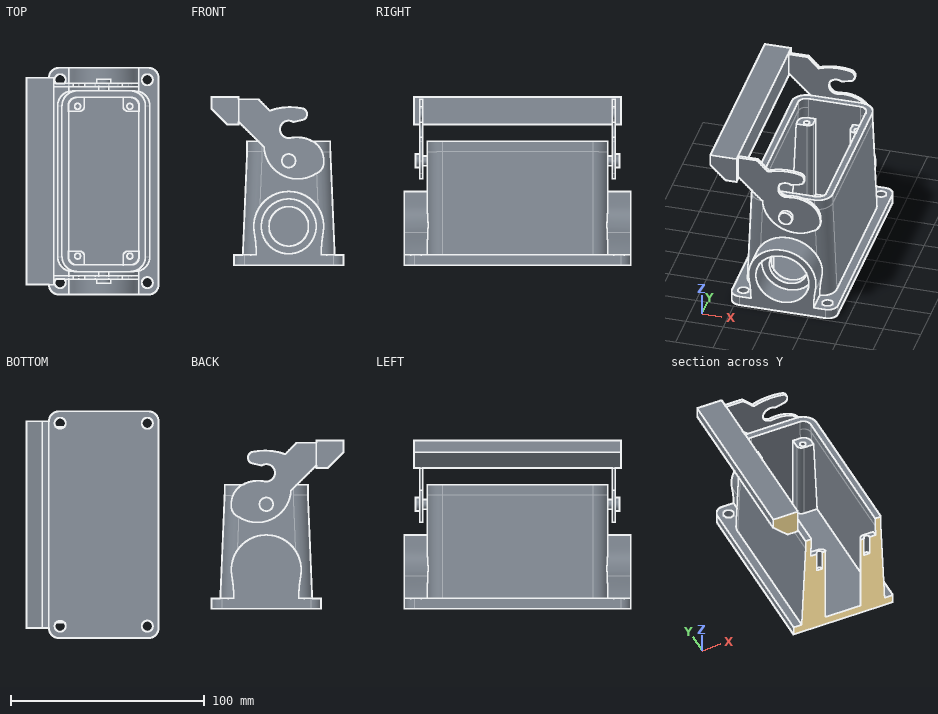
import cadquery as cq
import math


base_width = 56.6
base_length = 117.0
base_height = 5.4
base_corner_radius = 5.3
mount_hole_radius = 2.8
mount_hole_x = 22.5
mount_hole_y = 52.3

body_length = 93.1
body_bottom_width = 47.5
body_top_width = 43.0
body_top_z = 64.0
rim_height = 5.3
rim_bottom_z = body_top_z - rim_height
body_corner_radius = 7.7
wall = 3.4
floor_z = base_height

post_width = 8.2
post_length = 7.1
post_corner_radius = 2.7
post_top_z = 52.2
screw_hole_radius = 1.5
screw_hole_depth = 11.7
screw_hole_x = 13.5
screw_hole_y = 38.6

boss_radius = 18.0
boss_axis_z = 20.1
boss_foot_half_width = 16.7
entry_bore_radius = 14.2
entry_hole_radius = 10.2

peg_axis_z = 53.9
peg_radius = 2.6
peg_head_radius = 3.5
peg_head_thickness = 2.2

lever_plate_thickness = 1.6
lever_plate_outer_y = 50.4
lever_plate_inner_y = lever_plate_outer_y - lever_plate_thickness
bar_length = 106.7
bar_left_x = -39.9
bar_right_x = -25.9
bar_top_z = 86.8
bar_bottom_z = 72.5
bar_chamfer = 8.2
notch_radius = 4.5
notch_axis_z = 70.1

arm_bottom_z = 74.0
arm_top_z = 85.8
arm_corner = (-15.7, arm_top_z)
finger_root = (-9.8, 79.8)
finger_crest = (-0.4, 81.7)
finger_tip_top = (7.3, 81.0)
finger_tip_end = (9.5, 78.0)
finger_tip_bottom = (7.7, 75.1)
notch_mouth_top = (2.5, 73.8)
notch_mouth_bottom = (1.2, 65.9)
lobe_crest = (6.4, 66.0)
lobe_shoulder = (12.5, 63.9)
lobe_end = (18.0, 53.8)
lobe_corner = (17.1, 49.7)
lobe_corner_bottom = (14.2, 47.4)
lobe_bottom = (5.4, 44.6)
lobe_heel = (-12.8, 61.1)


def drafted_block(bottom_width, top_width, length, corner_radius, bottom_z):
    """Rounded block, drafted on its long sides below the rim and vertical above."""
    profile = [
        (-bottom_width / 2, bottom_z),
        (bottom_width / 2, bottom_z),
        (top_width / 2, rim_bottom_z),
        (top_width / 2, body_top_z),
        (-top_width / 2, body_top_z),
        (-top_width / 2, rim_bottom_z),
    ]
    return (
        cq.Workplane("XZ")
        .polyline(profile)
        .close()
        .extrude(length / 2, both=True)
        .edges("not(|X or |Y)")
        .fillet(corner_radius)
    )


def base_plate():
    return (
        cq.Workplane("XY")
        .rect(base_width, base_length)
        .extrude(base_height)
        .edges("|Z")
        .fillet(base_corner_radius)
    )


def mount_holes():
    return (
        cq.Workplane("XY")
        .rect(2 * mount_hole_x, 2 * mount_hole_y, forConstruction=True)
        .vertices()
        .circle(mount_hole_radius)
        .extrude(base_height)
    )


def entry_bosses():
    """Round boss whose sides blend through concave arcs into the base."""
    boss_rise = boss_axis_z - base_height
    blend_radius = (boss_foot_half_width**2 + boss_rise**2 - boss_radius**2) / (
        2 * (boss_radius - boss_foot_half_width)
    )
    blend_angle = math.asin(boss_rise / (boss_radius + blend_radius))
    blend_x = boss_radius * math.cos(blend_angle)
    blend_z = boss_axis_z - boss_radius * math.sin(blend_angle)
    mid_angle = blend_angle / 2
    mid_x = boss_foot_half_width + blend_radius * (1 - math.cos(mid_angle))
    mid_z = base_height + blend_radius * math.sin(mid_angle)
    return (
        cq.Workplane("XZ")
        .moveTo(-boss_foot_half_width, 0)
        .lineTo(boss_foot_half_width, 0)
        .lineTo(boss_foot_half_width, base_height)
        .threePointArc((mid_x, mid_z), (blend_x, blend_z))
        .threePointArc((0, boss_axis_z + boss_radius), (-blend_x, blend_z))
        .threePointArc((-mid_x, mid_z), (-boss_foot_half_width, base_height))
        .close()
        .extrude(base_length / 2, both=True)
    )


def cable_entry():
    """Wide bore down to the end wall of the housing, then a smaller hole through the wall."""
    outer_face = cq.Workplane("XZ", origin=(0, -base_length / 2, boss_axis_z))
    bore_depth = (base_length - body_length) / 2
    bore = outer_face.circle(entry_bore_radius).extrude(-bore_depth)
    hole = outer_face.circle(entry_hole_radius).extrude(-(bore_depth + wall))
    return bore.union(hole)


def screw_post(side_x, side_y, cavity_top_width, cavity_length):
    """Corner post with a rounded inner edge and a screw hole in its top."""
    inner_x = side_x * (cavity_top_width / 2 - post_width)
    inner_y = side_y * (cavity_length / 2 - post_length)
    outer_x = side_x * body_bottom_width / 2
    outer_y = side_y * cavity_length / 2
    height = post_top_z - floor_z
    middle_z = floor_z + height / 2
    post = (
        cq.Workplane("XY")
        .box(abs(outer_x - inner_x), abs(outer_y - inner_y), height)
        .translate(((inner_x + outer_x) / 2, (inner_y + outer_y) / 2, middle_z))
        .edges(cq.selectors.NearestToPointSelector((inner_x, inner_y, middle_z)))
        .fillet(post_corner_radius)
    )
    screw_hole = (
        cq.Workplane("XY", origin=(side_x * screw_hole_x, side_y * screw_hole_y, post_top_z))
        .circle(screw_hole_radius)
        .extrude(-screw_hole_depth)
    )
    return post.cut(screw_hole)


def cavity():
    """Space inside the walls, with the screw posts left standing."""
    top_width = body_top_width - 2 * wall
    length = body_length - 2 * wall
    space = drafted_block(
        body_bottom_width - 2 * wall, top_width, length, body_corner_radius - wall, floor_z
    )
    for side_x in (-1, 1):
        for side_y in (-1, 1):
            space = space.cut(screw_post(side_x, side_y, top_width, length))
    return space


def peg(side_y):
    """Peg from the end wall through the lever plate, with a wider head outside the plate."""
    wall_y = body_length / 2 - wall / 2
    shaft_length = lever_plate_outer_y - wall_y
    shaft = (
        cq.Workplane("XZ", origin=(0, side_y * wall_y, peg_axis_z))
        .circle(peg_radius)
        .extrude(-side_y * shaft_length)
    )
    head = (
        cq.Workplane("XZ", origin=(0, side_y * lever_plate_outer_y, peg_axis_z))
        .circle(peg_head_radius)
        .extrude(-side_y * peg_head_thickness)
    )
    return shaft.union(head)


def make_housing():
    body = drafted_block(
        body_bottom_width, body_top_width, body_length, body_corner_radius, base_height
    )
    housing = base_plate().union(entry_bosses()).union(body)
    housing = housing.cut(cavity()).cut(cable_entry()).cut(mount_holes())
    for side_y in (-1, 1):
        housing = housing.union(peg(side_y))
    return housing


def lever_plate(side_y):
    """Hooked side plate with an open notch above a rounded lobe that turns on the peg."""
    plate = cq.Workplane("XZ", origin=(0, side_y * lever_plate_inner_y, 0))
    plate = plate.moveTo(bar_right_x, arm_bottom_z).lineTo(bar_right_x, arm_top_z)
    plate = plate.lineTo(*arm_corner).lineTo(*finger_root)
    plate = plate.threePointArc(finger_crest, finger_tip_top)
    plate = plate.threePointArc(finger_tip_end, finger_tip_bottom).lineTo(*notch_mouth_top)
    plate = plate.threePointArc((-notch_radius, notch_axis_z), notch_mouth_bottom)
    plate = plate.threePointArc(lobe_crest, lobe_shoulder)
    plate = plate.tangentArcPoint(lobe_end, relative=False)
    plate = plate.threePointArc(lobe_corner, lobe_corner_bottom)
    plate = plate.threePointArc(lobe_bottom, lobe_heel).close()
    plate = plate.moveTo(0, peg_axis_z).circle(peg_radius)
    return plate.extrude(-side_y * lever_plate_thickness)


def make_lever():
    bar = (
        cq.Workplane("XZ")
        .polyline([
            (bar_left_x, bar_top_z),
            (bar_right_x, bar_top_z),
            (bar_right_x, bar_bottom_z),
            (bar_left_x + bar_chamfer, bar_bottom_z),
            (bar_left_x, bar_bottom_z + bar_chamfer),
        ])
        .close()
        .extrude(bar_length / 2, both=True)
    )
    return bar.union(lever_plate(-1)).union(lever_plate(1))


housing = make_housing()
lever = make_lever()
result = cq.Compound.makeCompound([housing.val(), lever.val()])